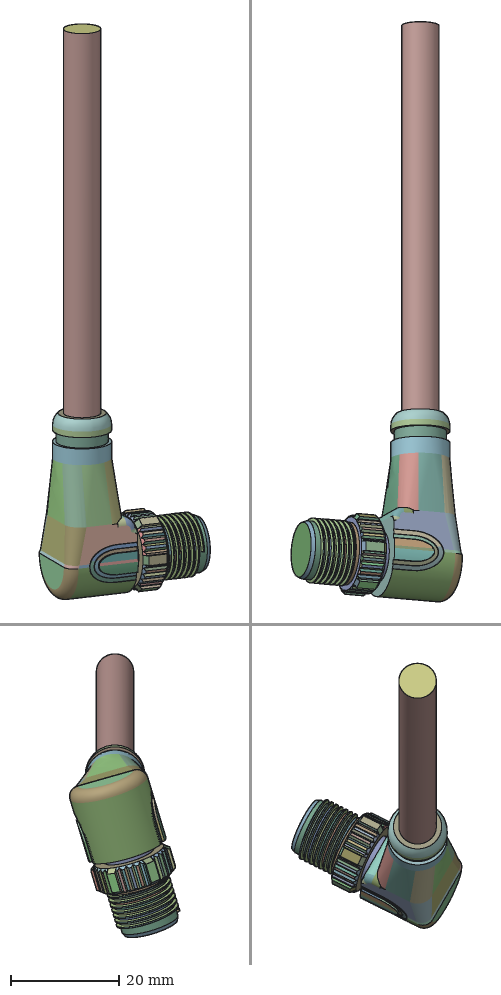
import cadquery as cq
import math


total_height = 108.5
body_radius = 7.5
body_rear = -6.1
body_front = 8.0
rear_rounding = 2.1

step_height = 0.5
shoulder_height = 7.6
step_half_width = 7.4
step_rear = -5.9
shoulder_half_width = 6.9
shoulder_rear = -5.2
shoulder_corner = 3.0
hump_height = 8.2
hump_rear = 4.1
hump_arc_radius = 2.2
hump_arc_bottom = 6.3
hump_arc_rear = 5.9
hump_side_fillet = 1.3
neck_front = 6.1

cable_radius = 3.5
cable_top = total_height - body_radius
sleeve_diameter = 11.0
sleeve_radius = sleeve_diameter / 2
sleeve_bottom = 19.0
groove_bottom = 22.1
groove_top = 24.3
groove_diameter = 9.7
groove_radius = groove_diameter / 2
sleeve_top = 27.6
sleeve_mouth_radius = 4.5
sleeve_straight_top = 25.4
flat_half_width = 2.3

nut_rear = 9.3
nut_front = 14.3
nut_radius = 7.2
rib_radius = 7.6
rib_count = 6
rib_half_angle = 7.0
rib_rear = 10.1
rib_front = 13.8
nut_rear_chamfer = 0.5
nut_front_chamfer = 0.3
knurls_per_gap = 4
knurl_pitch_angle = 11.0
knurl_width = 0.9
knurl_depth = 0.38

plug_neck_radius = 4.8
collar_diameter = 11.6
collar_radius = collar_diameter / 2
collar_front = 15.0
core_radius = 5.4
tip_start = 22.9
tip_end = 23.7
tip_radius = 5.1
thread_pitch = 1.0
thread_turns = 7
thread_diameter = 12.0
thread_radius = thread_diameter / 2
thread_root_width = 0.8
thread_crest_width = 0.27
thread_overlap = 0.16

panel_depth = 0.4
panel_bend = 4.0
panel_tip = -1.7
panel_half_height = 3.7
ledge_depth = 0.2
ledge_tip = -0.8
ledge_half_height = 2.8
island_tip = 0.1
island_half_height = 2.1


def rounded_section(height, half_width, rear, front, rear_corner, front_corner=0.0):
    """Horizontal wire with rounded rear corners and optional rounded front corners."""
    diagonal = 1 - math.sqrt(0.5)
    inner_x = half_width - rear_corner
    rear_cut = rear_corner * diagonal
    sketch = (
        cq.Workplane("XY", origin=(0, 0, height))
        .moveTo(-inner_x, rear)
        .lineTo(inner_x, rear)
        .threePointArc((half_width - rear_cut, rear + rear_cut), (half_width, rear + rear_corner))
        .lineTo(half_width, front - front_corner)
    )
    front_x = half_width - front_corner
    if front_corner > 0:
        front_cut = front_corner * diagonal
        sketch = sketch.threePointArc((half_width - front_cut, front - front_cut), (front_x, front))
    sketch = sketch.lineTo(-front_x, front)
    if front_corner > 0:
        sketch = sketch.threePointArc(
            (-half_width + front_cut, front - front_cut), (-half_width, front - front_corner)
        )
    sketch = sketch.lineTo(-half_width, rear + rear_corner)
    sketch = sketch.threePointArc((-half_width + rear_cut, rear + rear_cut), (-inner_x, rear))
    return sketch.close().val()


def circle_section(height, radius, half_width):
    """Circle made of eight arcs, so that it pairs with a rounded section in a loft."""
    turn = math.asin(half_width / radius)
    ends = []
    for quarter in range(4):
        middle = (quarter - 1) * math.pi / 2
        ends += [middle - turn, middle + turn]
    ends.append(ends[0] + 2 * math.pi)

    def point(angle):
        return (radius * math.cos(angle), radius * math.sin(angle))

    sketch = cq.Workplane("XY", origin=(0, 0, height)).moveTo(*point(ends[0]))
    for start, end in zip(ends, ends[1:]):
        sketch = sketch.threePointArc(point((start + end) / 2), point(end))
    return sketch.close().val()


def loft(lower, upper):
    return cq.Workplane(cq.Solid.makeLoft([lower, upper], True))


def cylinder_y(radius, start, end):
    return cq.Workplane("XZ", origin=(0, start, 0)).circle(radius).extrude(start - end)


def make_lower_housing():
    """Half-round underside with a rounded rear edge."""
    arc_cut = rear_rounding * (1 - math.sqrt(0.5))
    return (
        cq.Workplane("XY")
        .moveTo(0, body_rear)
        .lineTo(body_radius - rear_rounding, body_rear)
        .threePointArc(
            (body_radius - arc_cut, body_rear + arc_cut), (body_radius, body_rear + rear_rounding)
        )
        .lineTo(body_radius, body_front)
        .lineTo(0, body_front)
        .close()
        .revolve(180, (0, 0, 0), (0, 1, 0))
    )


def make_upper_housing():
    """Tapered block above the plug axis, standing on a sloping step."""
    base = rounded_section(0, body_radius, body_rear, body_front, rear_rounding)
    step = rounded_section(step_height, step_half_width, step_rear, body_front, rear_rounding)
    shoulder = rounded_section(
        shoulder_height, shoulder_half_width, shoulder_rear, body_front, shoulder_corner
    )
    block = loft(base, step).union(loft(step, shoulder))
    hump_space = cq.Workplane("XY", origin=(0, hump_rear, step_height)).box(
        4 * body_radius, 2 * body_front, 2 * hump_height, centered=(True, False, False)
    )
    return block.cut(hump_space).union(make_hump())


def make_hump():
    """Front part of the tapered block, with its raised top rounded to the front and the sides."""
    side_slope = (step_half_width - shoulder_half_width) / (shoulder_height - step_height)
    top_half_width = step_half_width - side_slope * (hump_height - step_height)
    front_profile = (
        cq.Workplane("YZ")
        .moveTo(hump_rear, step_height)
        .lineTo(body_front, step_height)
        .lineTo(body_front, hump_arc_bottom)
        .radiusArc((hump_arc_rear, hump_height), -hump_arc_radius)
        .lineTo(hump_rear, hump_height)
        .close()
        .extrude(body_radius, both=True)
    )
    taper = (
        cq.Workplane("XZ", origin=(0, hump_rear, 0))
        .moveTo(-step_half_width, step_height)
        .lineTo(step_half_width, step_height)
        .lineTo(top_half_width, hump_height)
        .lineTo(-top_half_width, hump_height)
        .close()
        .extrude(hump_rear - body_front)
    )
    hump = front_profile.intersect(taper)
    selection_gap = 0.1
    above_arc_foot = cq.selectors.BoxSelector(
        (-body_radius, hump_rear + selection_gap, hump_arc_bottom + selection_gap),
        (body_radius, body_front, 2 * hump_height),
    )
    return hump.edges(above_arc_foot).edges("not |X").fillet(hump_side_fillet)


def make_neck():
    """Transition from the rounded rectangular shoulder to the round sleeve."""
    lower = rounded_section(
        shoulder_height, shoulder_half_width, shoulder_rear, neck_front, shoulder_corner, shoulder_corner
    )
    return loft(lower, circle_section(sleeve_bottom, sleeve_radius, flat_half_width))


def make_sleeve_and_cable():
    """Grooved strain-relief sleeve with a rounded mouth, and the cable leaving it."""
    inset = sleeve_radius - sleeve_mouth_radius
    rise = sleeve_top - sleeve_straight_top
    mouth_arc = (inset**2 + rise**2) / (2 * inset)
    return (
        cq.Workplane("XZ")
        .moveTo(0, sleeve_bottom)
        .lineTo(sleeve_radius, sleeve_bottom)
        .lineTo(sleeve_radius, groove_bottom)
        .lineTo(groove_radius, groove_bottom)
        .lineTo(groove_radius, groove_top)
        .lineTo(sleeve_radius, groove_top)
        .lineTo(sleeve_radius, sleeve_straight_top)
        .radiusArc((sleeve_mouth_radius, sleeve_top), -mouth_arc)
        .lineTo(cable_radius, sleeve_top)
        .lineTo(cable_radius, cable_top)
        .lineTo(0, cable_top)
        .close()
        .revolve(360, (0, 0, 0), (0, 1, 0))
    )


def panel_prism(tip, half_height):
    """Bullet-shaped prism through the housing, pointing toward the rear."""
    return (
        cq.Workplane("YZ")
        .moveTo(body_front, half_height)
        .lineTo(panel_bend, half_height)
        .lineTo(panel_bend, -half_height)
        .lineTo(body_front, -half_height)
        .close()
        .extrude(2 * body_radius, both=True)
        .union(
            cq.Workplane("YZ", origin=(0, panel_bend, 0))
            .ellipse(panel_bend - tip, half_height)
            .extrude(2 * body_radius, both=True)
        )
    )


def make_recess_band(outer, inner, depth):
    """Band between two bullet outlines, cut to an even depth below the housing wall."""
    floor_radius = body_radius - depth
    core = cylinder_y(floor_radius, 2 * body_rear, 2 * body_front).union(
        cq.Workplane("XZ")
        .moveTo(-floor_radius, 0)
        .lineTo(floor_radius, 0)
        .lineTo(shoulder_half_width - depth, shoulder_height)
        .lineTo(depth - shoulder_half_width, shoulder_height)
        .close()
        .extrude(2 * body_front, both=True)
    )
    return outer.cut(inner).cut(core)


def make_panel_recess():
    """Stepped recesses in both side walls, each leaving an island at the full height of the wall."""
    panel = panel_prism(panel_tip, panel_half_height)
    ledge = panel_prism(ledge_tip, ledge_half_height)
    island = panel_prism(island_tip, island_half_height)
    rim = make_recess_band(panel, ledge, ledge_depth)
    return rim.union(make_recess_band(ledge, island, panel_depth))


def make_rib():
    """Wide grip rib with sloping ends, lying on the +X side of the nut."""
    half_width = rib_radius * math.sin(math.radians(rib_half_angle))
    return (
        cq.Workplane("XY")
        .moveTo(plug_neck_radius, nut_rear)
        .lineTo(nut_radius - nut_rear_chamfer, nut_rear)
        .lineTo(rib_radius, rib_rear)
        .lineTo(rib_radius, rib_front)
        .lineTo(nut_radius - nut_front_chamfer, nut_front)
        .lineTo(plug_neck_radius, nut_front)
        .close()
        .extrude(half_width, both=True)
    )


def make_nut():
    """Coupling nut with wide ribs and V-shaped knurling grooves in every gap."""
    nut = (
        cylinder_y(nut_radius, nut_rear, nut_front)
        .faces("<Y").chamfer(nut_rear_chamfer)
        .faces(">Y").chamfer(nut_front_chamfer)
    )
    rib_pitch_angle = 360 / rib_count
    first_knurl = (rib_pitch_angle - (knurls_per_gap - 1) * knurl_pitch_angle) / 2
    knurl = (
        cq.Workplane("XZ", origin=(nut_radius, nut_rear, 0))
        .moveTo(-knurl_depth, 0)
        .lineTo(0, knurl_width / 2)
        .lineTo(knurl_depth, knurl_width / 2)
        .lineTo(knurl_depth, -knurl_width / 2)
        .lineTo(0, -knurl_width / 2)
        .close()
        .extrude(nut_rear - nut_front)
    )
    rib = make_rib()
    for gap in range(rib_count):
        rib_angle = gap * rib_pitch_angle
        nut = nut.union(rib.rotate((0, 0, 0), (0, 1, 0), rib_angle))
        for index in range(knurls_per_gap):
            angle = rib_angle + first_knurl + index * knurl_pitch_angle
            nut = nut.cut(knurl.rotate((0, 0, 0), (0, 1, 0), angle))
    return nut


def make_thread():
    """Right-hand helical thread ridge, wound about Z and then turned onto the plug axis."""
    length = thread_turns * thread_pitch
    root_radius = core_radius - thread_overlap
    helix = cq.Wire.makeHelix(thread_pitch, length, core_radius)
    ridge = (
        cq.Workplane("XZ")
        .moveTo(root_radius, -thread_root_width / 2)
        .lineTo(thread_radius, -thread_crest_width / 2)
        .lineTo(thread_radius, thread_crest_width / 2)
        .lineTo(root_radius, thread_root_width / 2)
        .close()
        .sweep(cq.Workplane(helix), isFrenet=True)
    )
    return ridge.rotate((0, 0, 0), (1, 0, 0), -90).translate((0, collar_front, 0))


def make_plug():
    """Neck, thread collar, thread core and tapered tip on the plug axis."""
    return (
        cq.Workplane("XY")
        .moveTo(0, body_rear / 2)
        .lineTo(plug_neck_radius, body_rear / 2)
        .lineTo(plug_neck_radius, nut_rear)
        .lineTo(collar_radius, nut_rear)
        .lineTo(collar_radius, collar_front)
        .lineTo(core_radius, collar_front)
        .lineTo(core_radius, tip_start)
        .lineTo(tip_radius, tip_end)
        .lineTo(0, tip_end)
        .close()
        .revolve(360, (0, 0, 0), (0, 1, 0))
    )


housing = make_lower_housing().union(make_upper_housing()).cut(make_panel_recess())
result = (
    housing.union(make_neck())
    .union(make_sleeve_and_cable())
    .union(make_plug().union(make_thread()))
    .union(make_nut())
)